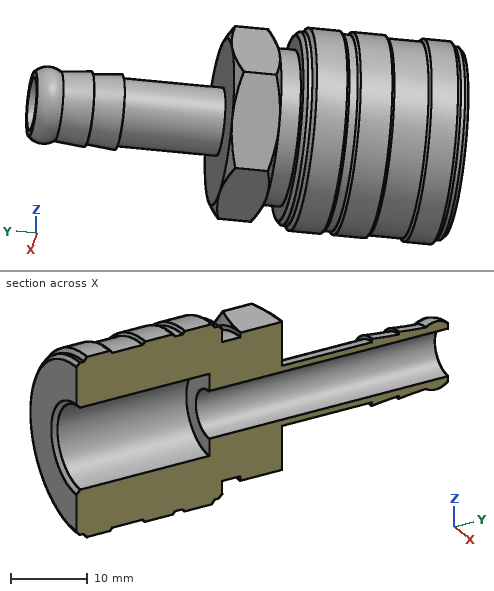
import cadquery as cq
import math


sleeve_radius = 13.4
lip_radius = 12.8
face_radius = 12.25
groove_radius = 13.0
sleeve_length = 22.0
end_chamfer = 0.55
lip_length = 1.1
shoulder_length = 0.5
groove_slope = 0.35
wide_groove = (5.1, 10.35)
narrow_groove = (14.55, 16.35)

collar_radius = 10.35
nut_start = 24.7
nut_length = 6.3
nut_end = nut_start + nut_length
nut_across_flats = 22.0
nut_across_corners = nut_across_flats / math.cos(math.radians(30))
nut_chamfer_angle = 30.0

overall_length = 56.0
stem_radius = 4.5
barb_length = 4.05
barb_small_radius = 4.6
barb_large_radius = 5.0
barb_count = 2
bulb_length = 3.4
bulb_radius = 5.1
bulb_face_radius = 4.3
bulb_start = overall_length - bulb_length
barbs_start = bulb_start - barb_count * barb_length

bore_radius = 3.5
socket_radius = 6.05
socket_chamfer = 0.6
socket_depth = 20.0


def revolve_profile(profile):
    """Turn a closed (radius, Y) profile about the Y axis."""
    return profile.close().revolve(360, (0, 0, 0), (0, 1, 0))


def groove_points(start, end):
    """Groove with sloping walls, followed towards +Y."""
    return [
        (sleeve_radius, start),
        (groove_radius, start + groove_slope),
        (groove_radius, end - groove_slope),
        (sleeve_radius, end),
    ]


def lip_points():
    """Lip at the mouth end of the sleeve, followed towards +Y."""
    return [
        (face_radius, 0),
        (lip_radius, end_chamfer),
        (lip_radius, lip_length),
        (sleeve_radius, lip_length + shoulder_length),
    ]


def make_sleeve():
    far_lip = [(radius, sleeve_length - y) for radius, y in reversed(lip_points())]
    points = [(0, 0)]
    points += lip_points()
    points += groove_points(*wide_groove)
    points += groove_points(*narrow_groove)
    points += far_lip
    points += [(0, sleeve_length)]
    return revolve_profile(cq.Workplane("XY").polyline(points))


def make_collar():
    length = nut_start - sleeve_length
    profile = cq.Workplane("XY").moveTo(0, sleeve_length).rect(collar_radius, length, centered=False)
    return profile.revolve(360, (0, 0, 0), (0, 1, 0))


def make_nut():
    """Hexagon with corners on X, rounded off by a cone at both ends."""
    hexagon = (
        cq.Workplane("XZ", origin=(0, nut_start, 0))
        .polygon(6, nut_across_corners)
        .extrude(-nut_length)
    )
    inner_radius = nut_across_flats / 2
    corner_radius = nut_across_corners / 2
    corner_drop = (corner_radius - inner_radius) * math.tan(math.radians(nut_chamfer_angle))
    envelope = [
        (0, nut_start),
        (inner_radius, nut_start),
        (corner_radius, nut_start + corner_drop),
        (corner_radius, nut_end - corner_drop),
        (inner_radius, nut_end),
        (0, nut_end),
    ]
    return hexagon.intersect(revolve_profile(cq.Workplane("XY").polyline(envelope)))


def make_hose_tail():
    """Stem, barbs widening towards the nut, and a rounded bulb at the end."""
    profile = cq.Workplane("XY").moveTo(0, nut_end).lineTo(stem_radius, nut_end)
    profile = profile.lineTo(stem_radius, barbs_start)
    for index in range(barb_count):
        barb_start = barbs_start + index * barb_length
        profile = profile.lineTo(barb_large_radius, barb_start)
        profile = profile.lineTo(barb_small_radius, barb_start + barb_length)
    bulb_middle = (bulb_radius, bulb_start + bulb_length / 2)
    profile = profile.threePointArc(bulb_middle, (bulb_face_radius, overall_length))
    return revolve_profile(profile.lineTo(0, overall_length))


def make_bore():
    """Chamfered socket at the mouth, then a narrower bore right through."""
    points = [
        (0, 0),
        (socket_radius + socket_chamfer, 0),
        (socket_radius, socket_chamfer),
        (socket_radius, socket_depth),
        (bore_radius, socket_depth),
        (bore_radius, overall_length),
        (0, overall_length),
    ]
    return revolve_profile(cq.Workplane("XY").polyline(points))


body = make_sleeve().union(make_collar()).union(make_nut()).union(make_hose_tail())
result = body.cut(make_bore())